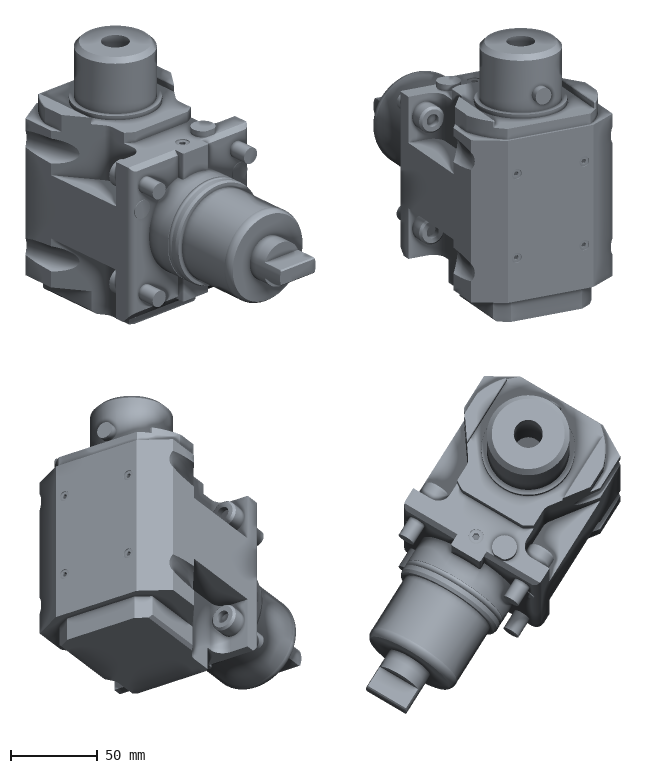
import cadquery as cq
import math


width = 92.0
half_width = width / 2
housing_top = 47.5
housing_bottom = -52.8
back_face = 102.2
nose_half_width = 27.8
nose_length = 10.7
back_side_round = 4.3
back_top_chamfer = 2.7
back_bottom_chamfer = 7.2

pocket_start = 33.0
waist_start = 61.0
waist_half_width = 25.9
flange_front = 89.2
pocket_floor_upper = 19.0
pocket_floor_lower = -21.5
pocket_bend_radius = 7.8
pocket_corner_radius = 8.0

spindle_x = 37.2
plate_radius = 44.5
plate_half_width = 42.5
plate_left = 1.8
plate_right = 77.0
plate_top = 54.1
pad_top = 58.2
pad_inner = 32.3
pad_left = 7.8
pad_chamfer = 0.4
collar_radius = 26.9
collar_top = 56.5
collar_gap_radius = 27.5
collar_gap_depth = 0.5
spindle_radius = 24.0
spindle_top = 91.5
spindle_chamfer = 3.0
spindle_bore_radius = 8.4
drive_pin_radius = 5.0
drive_pin_left = 8.8
drive_pin_z = 67.2

cover_left = 4.9
cover_right = 79.2
cover_bottom = -67.0
cover_half_width = 32.1
cover_chamfer_x = 5.5
cover_chamfer_y = 9.0
cover_bottom_chamfer = 2.0

shank_collar_end = 126.7
shank_collar_radius = 32.3
oring_start = 118.4
oring_crest = 119.7
oring_end = 121.9
oring_side_radius = 32.0
oring_floor_radius = 31.0
shank_collar_chamfer_x = 2.0
shank_collar_chamfer_r = 0.8
shank_radius = 28.8
shank_taper_start = 163.4
shank_nose_x = 167.5
shank_nose_radius = 28.0
shank_end = 168.6
shank_end_radius = 27.0
journal_radius = 13.8
journal_end = 180.5
tang_half_thickness = 5.0
tang_end = 194.7
tang_chamfer = 0.8

key_width = 19.9
key_back = 106.9
key_bottom = -47.1
key_round = 1.2

bolt_y = 35.5
bolt_z = 34.5
bolt_head_radius = 8.2
bolt_head_front = 79.0
bolt_head_chamfer = 1.4
bolt_socket_radius = 3.9
bolt_socket_depth = 4.0
bolt_radius = 5.0
bolt_end = 114.5
scallop_tilt = 12.2

button_x = 92.9
button_y = 18.0
button_radius = 7.2
button_top = 51.4
top_screw_x = 95.0
top_screw_radius = 4.3
top_screw_socket_radius = 2.1
plate_screw_y = 22.0
plate_screw_z = 25.9
plate_screw_radius = 3.1
plate_screw_socket_radius = 1.5
screw_recess = 0.5
screw_socket_depth = 2.3
stop_pad_y = 37.8
stop_pad_z = 19.3
stop_pad_radius = 5.8
stop_pad_height = 0.4

SIDES = (-1, 1)


def cylinder_x(radius, x_start, x_end, y=0.0, z=0.0):
    """Round bar along X."""
    return (
        cq.Workplane("YZ", origin=(x_start, 0, 0))
        .center(y, z)
        .circle(radius)
        .extrude(x_end - x_start)
    )


def cylinder_z(radius, z_start, z_end, x, y=0.0):
    """Round bar along Z."""
    return cq.Workplane("XY", origin=(x, y, z_start)).circle(radius).extrude(z_end - z_start)


def block(x_range, y_range, z_range):
    """Rectangular block between two limits on each axis."""
    size = [high - low for low, high in (x_range, y_range, z_range)]
    corner = (x_range[0], y_range[0], z_range[0])
    return cq.Workplane("XY").box(*size, centered=False).translate(corner)


def housing():
    """Block with a tapered nose and an eased back face."""
    outline = [
        (0, -nose_half_width),
        (nose_length, -half_width),
        (back_face, -half_width),
        (back_face, half_width),
        (nose_length, half_width),
        (0, nose_half_width),
    ]
    body = (
        cq.Workplane("XY", origin=(0, 0, housing_bottom))
        .polyline(outline)
        .close()
        .extrude(housing_top - housing_bottom)
    )
    body = body.edges("|Z and >X").fillet(back_side_round)
    side_profile = block((0, back_face), (-half_width, half_width), (housing_bottom, housing_top))
    side_profile = side_profile.edges(">X and >Z").chamfer(back_top_chamfer)
    side_profile = side_profile.edges(">X and <Z").chamfer(back_bottom_chamfer)
    return body.intersect(side_profile)


def top_plate():
    """Round plate trimmed by flats, with two raised pads along its sides."""
    plate = cylinder_z(plate_radius, housing_top, plate_top, spindle_x)
    pad_limits = block((pad_left, plate_right), (pad_inner, plate_radius), (housing_top, pad_top))
    pad = cylinder_z(plate_radius, housing_top, pad_top, spindle_x).intersect(pad_limits)
    pad = pad.faces(">Z").chamfer(pad_chamfer)
    plate = plate.union(pad).union(pad.mirror("XZ"))
    trim = block((plate_left, plate_right), (-plate_half_width, plate_half_width), (housing_top, pad_top))
    gap_floor = plate_top - collar_gap_depth
    return plate.intersect(trim).cut(cylinder_z(collar_gap_radius, gap_floor, plate_top, spindle_x))


def bottom_cover():
    """Cover with four cut corners and eased long bottom edges."""
    shoulder = cover_half_width - cover_chamfer_y
    outline = [
        (cover_left, -shoulder),
        (cover_left + cover_chamfer_x, -cover_half_width),
        (cover_right - cover_chamfer_x, -cover_half_width),
        (cover_right, -shoulder),
        (cover_right, shoulder),
        (cover_right - cover_chamfer_x, cover_half_width),
        (cover_left + cover_chamfer_x, cover_half_width),
        (cover_left, shoulder),
    ]
    cover = (
        cq.Workplane("XY", origin=(0, 0, cover_bottom))
        .polyline(outline)
        .close()
        .extrude(housing_bottom - cover_bottom)
    )
    profile = (
        cq.Workplane("YZ")
        .rect(2 * cover_half_width, 2 * -cover_bottom)
        .extrude(cover_right)
        .edges("|X and <Z")
        .chamfer(cover_bottom_chamfer)
    )
    return cover.intersect(profile)


def side_pocket(side, z_start, z_end):
    """Cutter for one pocket: a slanted wall, a straight wall and the flange face."""
    slope = (half_width - waist_half_width) / (waist_start - pocket_start)
    overrun = 2.0
    outline = [
        (pocket_start - overrun / slope, half_width + overrun),
        (waist_start, waist_half_width),
        (flange_front, waist_half_width),
        (flange_front, half_width + overrun),
    ]
    cutter = cq.Workplane("XY", origin=(0, 0, z_start)).polyline(outline).close().extrude(z_end - z_start)
    mid_z = (z_start + z_end) / 2
    bend = cq.selectors.NearestToPointSelector((waist_start, waist_half_width, mid_z))
    corner = cq.selectors.NearestToPointSelector((flange_front, waist_half_width, mid_z))
    cutter = cutter.edges(corner).fillet(pocket_corner_radius)
    cutter = cutter.edges(bend).fillet(pocket_bend_radius)
    return cutter if side > 0 else cutter.mirror("XZ")


def scallop(y_side, z_side):
    """Cutter for a tilted tool-access bore that points at a bolt seat and ends in the pocket."""
    tilt = math.radians(scallop_tilt)
    direction = cq.Vector(-math.cos(tilt), y_side * math.sin(tilt), 0)
    seat = cq.Vector(flange_front, y_side * bolt_y, z_side * bolt_z)
    start = seat + direction * ((flange_front - waist_start) / math.cos(tilt))
    bore = cq.Solid.makeCylinder(bolt_head_radius, flange_front, start, direction)
    return cq.Workplane(obj=bore)


def bolt(y, z):
    """Socket-head bolt seated on the flange and standing out of the back face."""
    head = cylinder_x(bolt_head_radius, bolt_head_front, flange_front, y, z)
    head = head.faces("<X").edges().chamfer(bolt_head_chamfer)
    socket = cylinder_x(bolt_socket_radius, bolt_head_front, bolt_head_front + bolt_socket_depth, y, z)
    return head.cut(socket).union(cylinder_x(bolt_radius, flange_front, bolt_end, y, z))


def spindle():
    """Vertical spindle nose with its collar, axial bore and drive pin."""
    nose = cylinder_z(spindle_radius, housing_top, spindle_top, spindle_x)
    nose = nose.faces(">Z").chamfer(spindle_chamfer)
    nose = nose.union(cylinder_z(collar_radius, housing_top, collar_top, spindle_x))
    nose = nose.union(cylinder_x(drive_pin_radius, drive_pin_left, spindle_x, z=drive_pin_z))
    return nose.cut(cylinder_z(spindle_bore_radius, housing_top, spindle_top, spindle_x))


def shank():
    """Turned shank along X: grooved collar, cylinder, journal and flat drive tang."""
    turned = (
        cq.Workplane("XY")
        .moveTo(flange_front, 0)
        .lineTo(flange_front, shank_collar_radius)
        .lineTo(oring_start, shank_collar_radius)
        .lineTo(oring_start, oring_side_radius)
        .threePointArc((oring_crest, shank_collar_radius), (oring_end, oring_floor_radius))
        .lineTo(oring_end, shank_collar_radius)
        .lineTo(shank_collar_end - shank_collar_chamfer_x, shank_collar_radius)
        .lineTo(shank_collar_end, shank_collar_radius - shank_collar_chamfer_r)
        .lineTo(shank_collar_end, shank_radius)
        .lineTo(shank_taper_start, shank_radius)
        .threePointArc((shank_nose_x, shank_nose_radius), (shank_end, shank_end_radius))
        .lineTo(shank_end, journal_radius)
        .lineTo(tang_end, journal_radius)
        .lineTo(tang_end, 0)
        .close()
        .revolve(360, (0, 0, 0), (1, 0, 0))
    )
    flats = [
        (journal_end, tang_half_thickness),
        (tang_end - tang_chamfer, tang_half_thickness),
        (tang_end, tang_half_thickness - tang_chamfer),
        (tang_end, journal_radius),
        (journal_end, journal_radius),
    ]
    flat_cutter = cq.Workplane("XZ").polyline(flats).close().extrude(journal_radius, both=True)
    return turned.cut(flat_cutter).cut(flat_cutter.mirror("XY"))


def locating_key():
    """Upright key on the back face with rounded outer edges."""
    key = block((flange_front, key_back), (-key_width / 2, key_width / 2), (key_bottom, housing_top))
    return key.edges("|Z and >X").fillet(key_round)


def button():
    """Round button on the housing, trimmed flush with the back edge of the top face."""
    disc = cylinder_z(button_radius, housing_top, button_top, button_x, button_y)
    trim = block((0, back_face - back_top_chamfer), (0, half_width), (housing_top, button_top))
    return disc.intersect(trim)


def screw_recess_cutter(plane, radius, socket_radius):
    """Cutter for a sunken screw: shallow round recess with a hexagon socket in its floor."""
    recess = cq.Workplane(plane).circle(radius).extrude(screw_recess)
    socket = cq.Workplane(plane).polygon(6, 2 * socket_radius).extrude(screw_socket_depth)
    return recess.union(socket)


result = housing().union(top_plate()).union(bottom_cover())
for side in SIDES:
    result = result.cut(side_pocket(side, pocket_floor_upper, pad_top))
    result = result.cut(side_pocket(side, cover_bottom, pocket_floor_lower))
    for level in SIDES:
        result = result.cut(scallop(side, level))

result = result.union(spindle()).union(shank()).union(locating_key()).union(button())

stop_pad_end = back_face + stop_pad_height
for side in SIDES:
    for level in SIDES:
        result = result.union(bolt(side * bolt_y, level * bolt_z))
    result = result.union(
        cylinder_x(stop_pad_radius, flange_front, stop_pad_end, side * stop_pad_y, stop_pad_z)
    )

for side in SIDES:
    for level in SIDES:
        origin = (0, side * plate_screw_y, level * plate_screw_z)
        nameplate = cq.Plane(origin=origin, xDir=(0, 1, 0), normal=(1, 0, 0))
        result = result.cut(screw_recess_cutter(nameplate, plate_screw_radius, plate_screw_socket_radius))
top_face = cq.Plane(origin=(top_screw_x, 0, housing_top), xDir=(1, 0, 0), normal=(0, 0, -1))
result = result.cut(screw_recess_cutter(top_face, top_screw_radius, top_screw_socket_radius))
result = cq.Workplane(obj=result.solids().val())